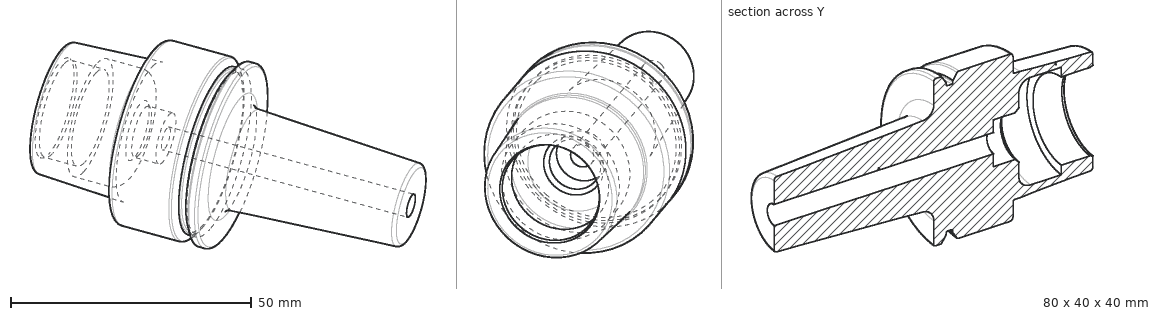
import cadquery as cq
import math


total_length = 80.0
shank_length = 20.0
flange_end = 40.0

shank_large_radius = 30.2 / 2
shank_taper = 0.1
taper_end = 18.4
shank_small_radius = shank_large_radius - taper_end * shank_taper / 2
shank_end_fillet = 0.8
shank_root_fillet = 0.3

flange_radius = 40.0 / 2
flange_front_fillet = 1.0
flange_back_fillet = 0.6

groove_radius = 34.8 / 2
groove_wall_radius = 18.2
groove_start = 35.2
groove_end = 36.8
groove_front_edge = 34.0
groove_back_edge = 38.0
groove_front_fillet = 0.6
groove_back_fillet = 0.3
groove_floor_fillet = 0.3

nose_end_radius = 18.0 / 2
nose_half_angle = 3.0
nose_root_fillet = 2.8
nose_start = flange_end + nose_root_fillet
nose_length = total_length - nose_start
nose_root_radius = nose_end_radius + nose_length * math.tan(math.radians(nose_half_angle))
nose_end_fillet = 0.8

mouth_radius = 21.0 / 2
mouth_chamfer_length = 0.8
mouth_chamfer_height = 0.3
lip_length = 8.0
chamber_radius = 25.5 / 2
chamber_floor = 18.6
chamber_floor_fillet = 2.8

well_radius = 11.0 / 2
well_depth = 6.4
well_chamfer = (13.0 - 11.0) / 2
coolant_radius = 5.0 / 2


def revolve_about_x(profile):
    return profile.close().revolve(360, (0, 0, 0), (1, 0, 0))


def bore(start, end, radius):
    """Cylinder on the X axis from start to end."""
    return cq.Workplane("YZ", origin=(start, 0, 0)).circle(radius).extrude(end - start)


def fillet_rim(body, x, radius, size):
    """Round the circular edge of the given radius at position x."""
    tolerance = 0.01
    box = cq.selectors.BoxSelector(
        (x - tolerance, -radius - tolerance, -radius - tolerance),
        (x + tolerance, radius + tolerance, radius + tolerance),
        boundingbox=True,
    )
    rim = body.edges(box).edges(cq.selectors.RadiusNthSelector(-1))
    return rim.fillet(size)


def make_shank():
    shank = revolve_about_x(
        cq.Workplane("XY")
        .lineTo(0, shank_small_radius)
        .lineTo(taper_end, shank_large_radius)
        .lineTo(shank_length, shank_large_radius)
        .lineTo(shank_length, 0)
    )
    return fillet_rim(shank, 0, shank_small_radius, shank_end_fillet)


def make_flange():
    flange = revolve_about_x(
        cq.Workplane("XY")
        .moveTo(shank_length, 0)
        .lineTo(shank_length, flange_radius)
        .lineTo(groove_front_edge, flange_radius)
        .lineTo(groove_start, groove_wall_radius)
        .lineTo(groove_start, groove_radius)
        .lineTo(groove_end, groove_radius)
        .lineTo(groove_end, groove_wall_radius)
        .lineTo(groove_back_edge, flange_radius)
        .lineTo(flange_end, flange_radius)
        .lineTo(flange_end, 0)
    )
    rims = [
        (shank_length, flange_radius, flange_front_fillet),
        (groove_front_edge, flange_radius, groove_front_fillet),
        (groove_start, groove_radius, groove_floor_fillet),
        (groove_end, groove_radius, groove_floor_fillet),
        (groove_back_edge, flange_radius, groove_back_fillet),
        (flange_end, flange_radius, flange_back_fillet),
    ]
    for x, radius, size in rims:
        flange = fillet_rim(flange, x, radius, size)
    return flange


def make_nose():
    nose = revolve_about_x(
        cq.Workplane("XY")
        .moveTo(flange_end, 0)
        .lineTo(flange_end, nose_root_radius + nose_root_fillet)
        .radiusArc((nose_start, nose_root_radius), -nose_root_fillet)
        .lineTo(total_length, nose_end_radius)
        .lineTo(total_length, 0)
    )
    return fillet_rim(nose, total_length, nose_end_radius, nose_end_fillet)


def make_cavity():
    mouth = revolve_about_x(
        cq.Workplane("XY")
        .lineTo(0, mouth_radius + mouth_chamfer_height)
        .lineTo(mouth_chamfer_length, mouth_radius)
        .lineTo(lip_length, mouth_radius)
        .lineTo(lip_length, 0)
    )
    chamber = bore(lip_length, chamber_floor, chamber_radius)
    chamber = fillet_rim(chamber, chamber_floor, chamber_radius, chamber_floor_fillet)
    well = revolve_about_x(
        cq.Workplane("XY")
        .moveTo(chamber_floor, 0)
        .lineTo(chamber_floor, well_radius + well_chamfer)
        .lineTo(chamber_floor + well_chamfer, well_radius)
        .lineTo(chamber_floor + well_depth, well_radius)
        .lineTo(chamber_floor + well_depth, 0)
    )
    coolant_hole = bore(chamber_floor, total_length, coolant_radius)
    return mouth.union(chamber).union(well).union(coolant_hole)


body = make_shank().union(make_flange()).union(make_nose())
body = fillet_rim(body, shank_length, shank_large_radius, shank_root_fillet)
result = body.cut(make_cavity())